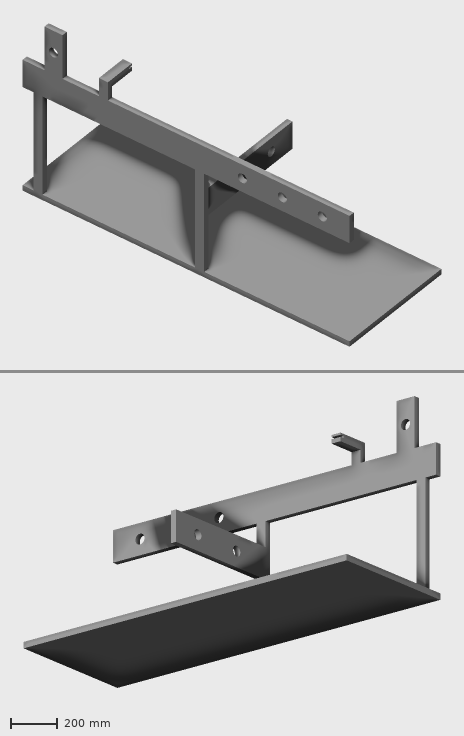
import cadquery as cq

base_length = 1800.0
base_depth = 650.0
plate_thickness = 30.0

post_width = 50.0
post_positions = (60.0, 950.0)
rail_bottom = 570.0
rail_height = 150.0
rail_top = rail_bottom + rail_height
tower_left = 120.0
tower_width = 100.0
tower_height = 240.0

hook_left = 420.0
hook_width = 50.0
hook_height = 100.0
hook_top = rail_top + hook_height
hook_reach = 170.0
hook_arm_height = 40.0

slot_depth = 20.0
slot_height = 10.0
slot_top_margin = 10.0
slot_bottom = hook_top - slot_top_margin - slot_height

arm_left = post_positions[1]
arm_bottom = 300.0
arm_height = 150.0

hole_diameter = 50.0
rail_hole_start = 1210.0
rail_hole_pitch = 220.0
rail_hole_count = 3
tower_hole_x = tower_left + tower_width / 2
tower_hole_z = rail_top + tower_height / 2
arm_hole_positions = (230.0, 500.0)


def block(x, y, z, length, depth, height):
    """Box placed by its left, front, bottom corner."""
    return cq.Workplane("XY").box(length, depth, height, centered=False).translate((x, y, z))


def frame_block(x, z, length, height):
    """Member of the front frame, one plate thickness deep."""
    return block(x, 0, z, length, plate_thickness, height)


def hole_along_y(x, z, diameter):
    """Cutter through the front frame."""
    axis = cq.Vector(0, 1, 0)
    return cq.Workplane(cq.Solid.makeCylinder(diameter / 2, plate_thickness, cq.Vector(x, 0, z), axis))


def hole_along_x(y, z, diameter):
    """Cutter through the cross arm."""
    axis = cq.Vector(1, 0, 0)
    return cq.Workplane(cq.Solid.makeCylinder(diameter / 2, plate_thickness, cq.Vector(arm_left, y, z), axis))


def make_front_frame():
    frame = frame_block(0, rail_bottom, base_length, rail_height)
    for post_left in post_positions:
        post_height = rail_bottom - plate_thickness
        frame = frame.union(frame_block(post_left, plate_thickness, post_width, post_height))
    frame = frame.union(frame_block(tower_left, rail_top, tower_width, tower_height))

    frame = frame.cut(hole_along_y(tower_hole_x, tower_hole_z, hole_diameter))
    rail_hole_z = rail_bottom + rail_height / 2
    for index in range(rail_hole_count):
        hole_x = rail_hole_start + index * rail_hole_pitch
        frame = frame.cut(hole_along_y(hole_x, rail_hole_z, hole_diameter))
    return frame


def make_hook():
    upright = frame_block(hook_left, rail_top, hook_width, hook_height)
    arm = block(hook_left, 0, hook_top - hook_arm_height, hook_width, hook_reach, hook_arm_height)
    slot_front = hook_reach - slot_depth
    slot = block(hook_left, slot_front, slot_bottom, hook_width, slot_depth, slot_height)
    return upright.union(arm).cut(slot)


def make_cross_arm():
    arm_depth = base_depth - plate_thickness
    arm = block(arm_left, plate_thickness, arm_bottom, plate_thickness, arm_depth, arm_height)
    hole_z = arm_bottom + arm_height / 2
    for hole_y in arm_hole_positions:
        arm = arm.cut(hole_along_x(hole_y, hole_z, hole_diameter))
    return arm


base = block(0, 0, 0, base_length, base_depth, plate_thickness)
result = base.union(make_front_frame()).union(make_hook()).union(make_cross_arm())